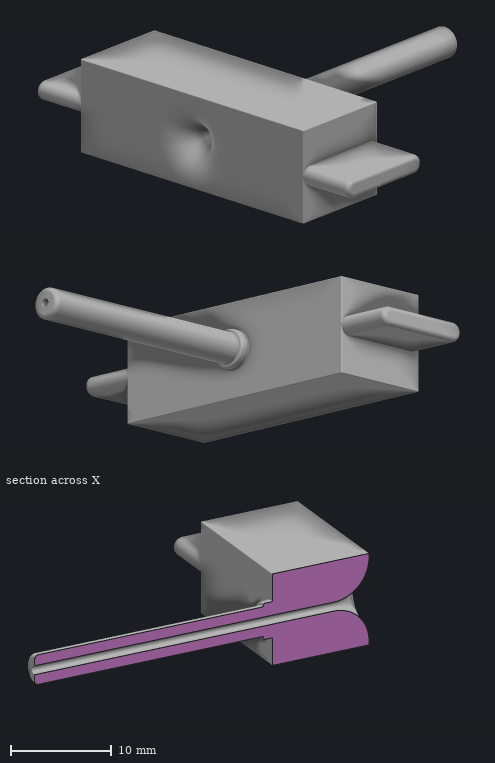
import cadquery as cq

overall_width = 42.0
overall_depth = 38.0
body_width = 30.0
body_depth = 11.0
body_height = 10.0
body_edge_radius = 0.1

tab_thickness = 2.0
tab_end_radius = 0.5

collar_diameter = 4.0
collar_length = 1.0
collar_edge_radius = 0.2

rod_diameter = 3.28
rod_end_radius = 0.5
root_radius = 0.1

bore_diameter = 0.92
mouth_diameter = 9.0


def make_body():
    """Rectangular block with lightly rounded edges."""
    block = cq.Workplane("XY").box(body_width, body_depth, body_height)
    return block.translate((0, body_depth / 2, 0)).edges().fillet(body_edge_radius)


def make_tabs():
    """One flat bar with round long edges, passing through the body and forming both tabs."""
    bar = (
        cq.Workplane("YZ")
        .center(body_depth / 2, 0)
        .slot2D(body_depth, tab_thickness)
        .extrude(overall_width / 2, both=True)
    )
    return bar.faces("<X or >X").edges().fillet(tab_end_radius)


def make_cylinder(diameter, end_y, end_radius):
    """Cylinder along +Y from the middle of the body, with a rounded far end."""
    start_y = body_depth / 2
    cylinder = (
        cq.Workplane("XZ", origin=(0, start_y, 0))
        .circle(diameter / 2)
        .extrude(start_y - end_y)
    )
    return cylinder.faces(">Y").edges().fillet(end_radius)


def add_with_root_fillet(base, cylinder, root_y):
    """Join a cylinder to the base and blend the inside corner where it starts."""
    joined = base.union(cylinder)
    root_edge = cq.NearestToPointSelector((0, root_y, 0))
    return joined.edges(root_edge).fillet(root_radius)


def make_flared_bore():
    """Bore through the whole part, flaring as a quarter arc tangent to the front face."""
    bore_radius = bore_diameter / 2
    mouth_radius = mouth_diameter / 2
    flare_radius = mouth_radius - bore_radius
    diagonal = flare_radius * 0.5**0.5
    return (
        cq.Workplane("XY")
        .moveTo(0, 0)
        .lineTo(mouth_radius, 0)
        .threePointArc(
            (mouth_radius - diagonal, flare_radius - diagonal),
            (bore_radius, flare_radius),
        )
        .lineTo(bore_radius, overall_depth)
        .lineTo(0, overall_depth)
        .close()
        .revolve(360, (0, 0, 0), (0, 1, 0))
    )


collar_end_y = body_depth + collar_length
collar = make_cylinder(collar_diameter, collar_end_y, collar_edge_radius)
rod = make_cylinder(rod_diameter, overall_depth, rod_end_radius)

result = add_with_root_fillet(make_body(), collar, body_depth)
result = add_with_root_fillet(result, rod, collar_end_y)
result = result.union(make_tabs()).cut(make_flared_bore())